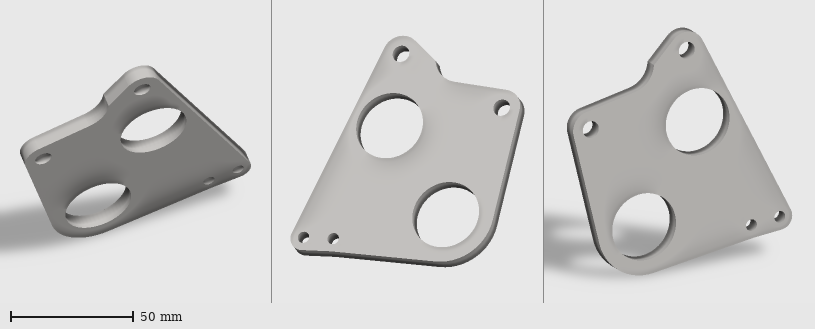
import cadquery as cq
import math

thickness = 6.4
bore_diameter = 28.5
lug_hole_diameter = 7.1
small_hole_diameter = 4.9

lower_bore = (0, 0)
upper_bore = (24.0, 41.9)
top_lug = (19.1, 73.0)
side_lug = (-23.9, 44.4)
corner_hole = (60.7, -3.0)
edge_hole = (48.0, -5.1)
scallop_center = (-6.8, 68.8)
scallop_corner = (4.5, 68.4)
bottom_corner = (49.0, -10.6)

bore_edge_radius = 20.6
lug_radius = 7.9
corner_radius = 5.6
scallop_radius = 11.2

rounds = [
    (scallop_corner, 0),
    (scallop_center, -scallop_radius),
    (side_lug, lug_radius),
    (lower_bore, bore_edge_radius),
    (bottom_corner, 0),
    (corner_hole, corner_radius),
    (top_lug, lug_radius),
]


def outward_normal(first, second):
    """Unit normal, on the outer side, of the tangent line between two rounds."""
    (y1, z1), r1 = first
    (y2, z2), r2 = second
    dy = y2 - y1
    dz = z2 - z1
    direction = math.atan2(dz, dy) + math.asin((r1 - r2) / math.hypot(dy, dz))
    return math.sin(direction), -math.cos(direction)


def point_on_round(center, radius, normal):
    return center[0] + radius * normal[0], center[1] + radius * normal[1]


def build_outline():
    """Trace the outline from the scallop corner, once around and back to it."""
    outline = cq.Workplane("YZ").moveTo(*scallop_corner)
    for before, current, after in zip(rounds, rounds[1:], rounds[2:] + rounds[:1]):
        center, radius = current
        if radius == 0:
            outline = outline.lineTo(*center)
            continue
        normal_in = outward_normal(before, current)
        normal_out = outward_normal(current, after)
        sum_y = normal_in[0] + normal_out[0]
        sum_z = normal_in[1] + normal_out[1]
        length = math.hypot(sum_y, sum_z)
        normal_middle = (sum_y / length, sum_z / length)
        outline = outline.lineTo(*point_on_round(center, radius, normal_in))
        outline = outline.threePointArc(
            point_on_round(center, radius, normal_middle),
            point_on_round(center, radius, normal_out),
        )
    return outline.close()


def drill(body, centers, diameter):
    """Cut round holes through the full thickness."""
    cutters = cq.Workplane("YZ").pushPoints(centers).circle(diameter / 2).extrude(thickness)
    return body.cut(cutters)


plate = build_outline().extrude(thickness)
plate = drill(plate, [lower_bore, upper_bore], bore_diameter)
plate = drill(plate, [top_lug, side_lug], lug_hole_diameter)
plate = drill(plate, [corner_hole, edge_hole], small_hole_diameter)

result = plate